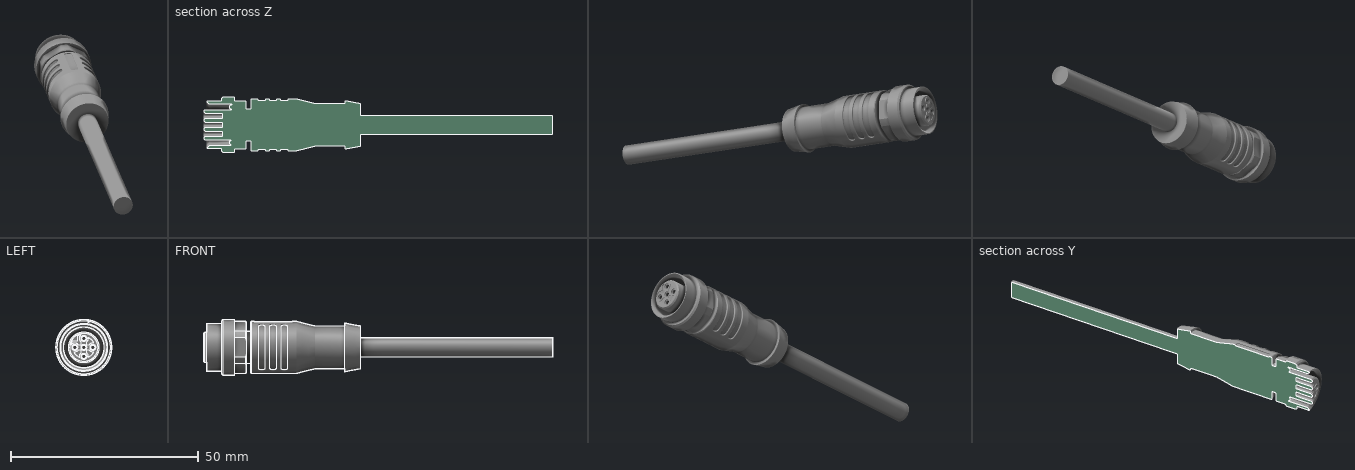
import cadquery as cq
import math

TOTAL_LENGTH = 93.31
NUT_FRONT = 0.85
COLLAR_FRONT = 4.8
COLLAR_BACK = 8.3
HEX_BACK = 11.45
BODY_FRONT = 12.55
BODY_BACK = 24.85
NECK_FRONT = 29.8
FLARE_FRONT = 37.7
FLARE_BACK = 41.95
CAVITY_FLOOR = 7.5

INSERT_DIA = 8.2
CAVITY_DIA = 10.95
NUT_DIA = 12.8
NUT_MOUTH_DIA = 12.3
SEAL_DIA = 10.8
COLLAR_DIA = 15.0
HEX_CORNER_DIA = 14.0
HEX_ACROSS_FLATS = 13.0
SHANK_DIA = 8.7
BODY_DIA = 14.0
NECK_DIA = 11.5
FLARE_DIA = 13.1
CABLE_DIA = 5.2

COLLAR_CHAMFER = 0.4
BODY_CHAMFER = 0.2
INSERT_CHAMFER = 0.35
HEX_CHAMFER = 0.25

SOCKET_DIA = 1.15
SOCKET_MOUTH_DIA = 1.6
SOCKET_RADIUS = 2.4
SOCKET_DEPTH = 5.0
MOUTH_DEPTH = 0.3

RECESS_DIA = 5.8
RECESS_DEPTH = 0.2
CROSS_WIDTH = 1.4
BOSS_DIA = 2.4
KEY_CORNER = 1.7
KEY_RECESS_DIA = 7.0

GROOVE_COUNT = 3
GROOVE_PITCH = 3.0
GROOVE_MIDDLE = 18.55
GROOVE_WIDTH = 1.85
GROOVE_DEPTH = 0.4
GROOVE_HALF_ANGLE = 64.0
GROOVE_EDGE_RADIUS = 0.2

WINDOW_FRONT = 13.5
WINDOW_BACK = 23.75
WINDOW_WIDTH = 2.1
WINDOW_CORNER = 0.6
WINDOW_DEPTH = 0.25


def cylinder(x_start, x_end, diameter):
    """Solid cylinder about the X axis between two stations."""
    return cq.Workplane("YZ", origin=(x_start, 0, 0)).circle(diameter / 2).extrude(x_end - x_start)


def make_recess(socket_places):
    """Face recess that leaves the cross, the socket bosses and one square key corner standing."""
    face = cq.Workplane("YZ")
    recess = face.circle(RECESS_DIA / 2).extrude(RECESS_DEPTH)
    key_quadrant = face.rect(KEY_RECESS_DIA, KEY_RECESS_DIA, centered=False).extrude(RECESS_DEPTH)
    key_recess = face.circle(KEY_RECESS_DIA / 2).extrude(RECESS_DEPTH).intersect(key_quadrant)
    cross_bar = face.rect(KEY_RECESS_DIA, CROSS_WIDTH).extrude(RECESS_DEPTH)
    cross_post = face.rect(CROSS_WIDTH, KEY_RECESS_DIA).extrude(RECESS_DEPTH)
    bosses = face.pushPoints(socket_places).circle(BOSS_DIA / 2).extrude(RECESS_DEPTH)
    key = (
        face.center(KEY_CORNER, KEY_CORNER)
        .rect(KEY_RECESS_DIA, KEY_RECESS_DIA, centered=False)
        .extrude(RECESS_DEPTH)
    )
    return recess.union(key_recess).cut(cross_bar).cut(cross_post).cut(bosses).cut(key)


def make_insert():
    insert = cylinder(0, BODY_FRONT, INSERT_DIA).faces("<X").chamfer(INSERT_CHAMFER)
    ring_places = []
    for quarter in range(4):
        angle = quarter * math.pi / 2
        ring_places.append((SOCKET_RADIUS * math.cos(angle), SOCKET_RADIUS * math.sin(angle)))
    face = cq.Workplane("YZ").pushPoints([(0, 0)] + ring_places)
    sockets = face.circle(SOCKET_DIA / 2).extrude(SOCKET_DEPTH)
    mouths = face.circle(SOCKET_MOUTH_DIA / 2).extrude(MOUTH_DEPTH)
    return insert.cut(make_recess(ring_places)).cut(sockets).cut(mouths)


def make_hex():
    across_corners = HEX_ACROSS_FLATS / math.cos(math.pi / 6)
    hexagon = (
        cq.Workplane("YZ", origin=(COLLAR_BACK, 0, 0))
        .transformed(rotate=(0, 0, 90))
        .polygon(6, across_corners)
        .extrude(HEX_BACK - COLLAR_BACK)
    )
    rounding = cylinder(COLLAR_BACK, HEX_BACK, HEX_CORNER_DIA).faces(">X").chamfer(HEX_CHAMFER)
    return hexagon.intersect(rounding)


def make_nut():
    sleeve = cylinder(NUT_FRONT, COLLAR_BACK, NUT_DIA)
    collar = cylinder(COLLAR_FRONT, COLLAR_BACK, COLLAR_DIA).faces("<X").chamfer(COLLAR_CHAMFER)
    mouth_chamfer = (NUT_MOUTH_DIA - CAVITY_DIA) / 2
    cavity = cylinder(NUT_FRONT, CAVITY_FLOOR, CAVITY_DIA)
    mouth = (
        cq.Workplane("YZ", origin=(NUT_FRONT, 0, 0))
        .circle(NUT_MOUTH_DIA / 2)
        .extrude(mouth_chamfer, taper=45)
    )
    return sleeve.union(collar).union(make_hex()).cut(cavity).cut(mouth)


def make_seal():
    """Rounded seal ring around the insert, half sunk in the cavity floor."""
    section_radius = (SEAL_DIA - INSERT_DIA) / 4
    ring_radius = (SEAL_DIA + INSERT_DIA) / 4
    return (
        cq.Workplane("XY", origin=(CAVITY_FLOOR, 0, 0))
        .center(0, ring_radius)
        .circle(section_radius)
        .revolve(360, (-1, -ring_radius, 0), (1, -ring_radius, 0))
    )


def make_body():
    profile = (
        cq.Workplane("XY")
        .moveTo(BODY_FRONT, 0)
        .lineTo(BODY_FRONT, BODY_DIA / 2 - BODY_CHAMFER)
        .lineTo(BODY_FRONT + BODY_CHAMFER, BODY_DIA / 2)
        .lineTo(BODY_BACK, BODY_DIA / 2)
        .lineTo(NECK_FRONT, NECK_DIA / 2)
        .lineTo(FLARE_FRONT, NECK_DIA / 2)
        .lineTo(FLARE_FRONT, FLARE_DIA / 2)
        .lineTo(FLARE_BACK, NECK_DIA / 2)
        .lineTo(FLARE_BACK, 0)
        .close()
    )
    return profile.revolve(360, (0, 0, 0), (1, 0, 0))


def make_groove(x_middle, side):
    """Round-ended groove wrapped around the -Y (side=-1) or +Y (side=1) face."""
    radius = BODY_DIA / 2
    end_angle = GROOVE_HALF_ANGLE - math.degrees(GROOVE_WIDTH / 2 / radius)
    groove = (
        cq.Workplane("XY")
        .center(x_middle, side * radius)
        .rect(GROOVE_WIDTH, 2 * GROOVE_DEPTH)
        .revolve(2 * end_angle, (-1, -side * radius, 0), (1, -side * radius, 0))
        .rotate((0, 0, 0), (1, 0, 0), -end_angle)
    )
    floor = cylinder(BODY_FRONT, BODY_BACK, BODY_DIA - 2 * GROOVE_DEPTH)
    end = (
        cq.Workplane("XZ", origin=(x_middle, 0, 0))
        .circle(GROOVE_WIDTH / 2)
        .extrude(-side * (radius + GROOVE_DEPTH))
        .cut(floor)
    )
    for angle in (-end_angle, end_angle):
        groove = groove.union(end.rotate((0, 0, 0), (1, 0, 0), angle))
    return groove


def is_groove_rim(edge):
    """True for the edges where a groove wall meets the outer surface of the body."""
    reach = (GROOVE_COUNT * GROOVE_PITCH) / 2
    box = edge.BoundingBox()
    within_grooves = box.xmin > GROOVE_MIDDLE - reach and box.xmax < GROOVE_MIDDLE + reach
    ends = (edge.startPoint(), edge.endPoint())
    return within_grooves and all(math.hypot(p.y, p.z) > (BODY_DIA - GROOVE_DEPTH) / 2 for p in ends)


def cut_grooves(body):
    for index in range(GROOVE_COUNT):
        x_middle = GROOVE_MIDDLE + (index - (GROOVE_COUNT - 1) / 2) * GROOVE_PITCH
        for side in (-1, 1):
            body = body.cut(make_groove(x_middle, side))
    rims = body.edges().filter(is_groove_rim)
    return body.newObject(rims.vals()).fillet(GROOVE_EDGE_RADIUS)


def make_window():
    return (
        cq.Workplane("XY", origin=((WINDOW_FRONT + WINDOW_BACK) / 2, 0, BODY_DIA / 2 - WINDOW_DEPTH))
        .rect(WINDOW_BACK - WINDOW_FRONT, WINDOW_WIDTH)
        .extrude(2 * WINDOW_DEPTH)
        .edges("|Z")
        .fillet(WINDOW_CORNER)
    )


shank = cylinder(CAVITY_FLOOR, BODY_FRONT, SHANK_DIA)
cable = cylinder(FLARE_FRONT, TOTAL_LENGTH, CABLE_DIA)
body = cut_grooves(make_body()).cut(make_window())
result = make_nut().union(shank).union(make_seal()).union(make_insert()).union(body).union(cable)